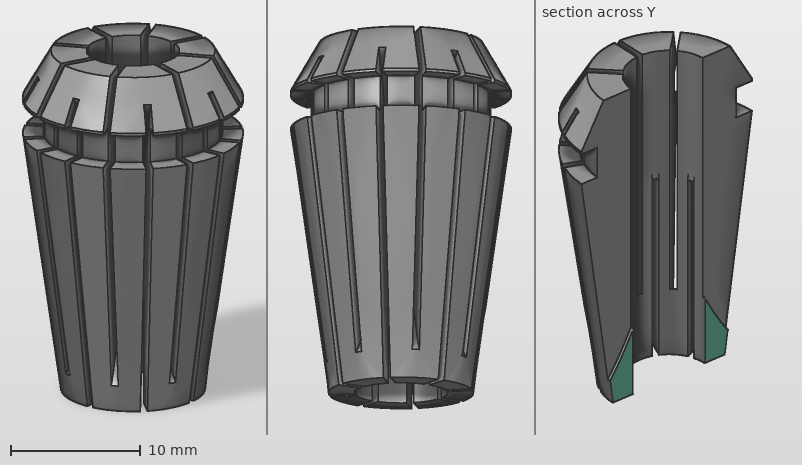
import cadquery as cq
import math

LENGTH = 27.5
MAX_RADIUS = 8.5
BORE_RADIUS = 3.58

BODY_HALF_ANGLE = 8.0
NOSE_HALF_ANGLE = 30.0

GROOVE_BOTTOM = 20.8
GROOVE_TOP = 23.48
GROOVE_RADIUS = 6.9
RIM_TOP = 23.7

SLOTS_PER_END = 8
SLOT_WIDTH = 0.55
SLOT_PITCH = 360 / SLOTS_PER_END

NOSE_SLOT_EXIT = 2.15
NOSE_SLOT_AT_BORE = 5.95
TAIL_SLOT_EXIT = 25.63
TAIL_SLOT_AT_BORE = 15.95
SLOT_END_RADIUS = 24.75

BODY_SLOPE = math.tan(math.radians(BODY_HALF_ANGLE))
NOSE_SLOPE = math.tan(math.radians(NOSE_HALF_ANGLE))
TAIL_RADIUS = MAX_RADIUS - GROOVE_BOTTOM * BODY_SLOPE
NOSE_RADIUS = MAX_RADIUS - (LENGTH - RIM_TOP) * NOSE_SLOPE
NOSE_SLOT_EXIT_RADIUS = TAIL_RADIUS + NOSE_SLOT_EXIT * BODY_SLOPE
TAIL_SLOT_EXIT_RADIUS = MAX_RADIUS - (TAIL_SLOT_EXIT - RIM_TOP) * NOSE_SLOPE


def revolve_about_axis(profile):
    return profile.close().revolve(360, (0, 0, 0), (0, 1, 0))


def collet_blank():
    """Bored double-taper body with its ring groove, before slotting."""
    profile = (
        cq.Workplane("XZ")
        .moveTo(BORE_RADIUS, 0)
        .lineTo(TAIL_RADIUS, 0)
        .lineTo(MAX_RADIUS, GROOVE_BOTTOM)
        .lineTo(GROOVE_RADIUS, GROOVE_BOTTOM)
        .lineTo(GROOVE_RADIUS, GROOVE_TOP)
        .lineTo(MAX_RADIUS, GROOVE_TOP)
        .lineTo(MAX_RADIUS, RIM_TOP)
        .lineTo(NOSE_RADIUS, LENGTH)
        .lineTo(BORE_RADIUS, LENGTH)
    )
    return revolve_about_axis(profile)


def slot_zone(bore_z, exit_radius, exit_z, open_z):
    """Ring that limits a set of slots: curved slot ends on one side, open at open_z."""
    arc_side = math.copysign(1, exit_z - bore_z)
    profile = (
        cq.Workplane("XZ")
        .moveTo(BORE_RADIUS, bore_z)
        .radiusArc((exit_radius, exit_z), arc_side * SLOT_END_RADIUS)
        .lineTo(MAX_RADIUS, exit_z)
        .lineTo(MAX_RADIUS, open_z)
        .lineTo(BORE_RADIUS, open_z)
    )
    return revolve_about_axis(profile)


def saw_cuts(first_angle):
    """Flat radial plates, one per slot, running from the axis past the outside."""
    plate = cq.Workplane("XY").box(
        MAX_RADIUS + SLOT_WIDTH, SLOT_WIDTH, LENGTH, centered=(False, True, False)
    )
    plates = cq.Workplane("XY")
    for index in range(SLOTS_PER_END):
        angle = first_angle + index * SLOT_PITCH
        plates = plates.add(plate.rotate((0, 0, 0), (0, 0, 1), angle))
    return plates.combine()


nose_slot_zone = slot_zone(NOSE_SLOT_AT_BORE, NOSE_SLOT_EXIT_RADIUS, NOSE_SLOT_EXIT, LENGTH)
tail_slot_zone = slot_zone(TAIL_SLOT_AT_BORE, TAIL_SLOT_EXIT_RADIUS, TAIL_SLOT_EXIT, 0)
nose_slots = nose_slot_zone.intersect(saw_cuts(0))
tail_slots = tail_slot_zone.intersect(saw_cuts(SLOT_PITCH / 2))

result = collet_blank().cut(nose_slots).cut(tail_slots).solids()